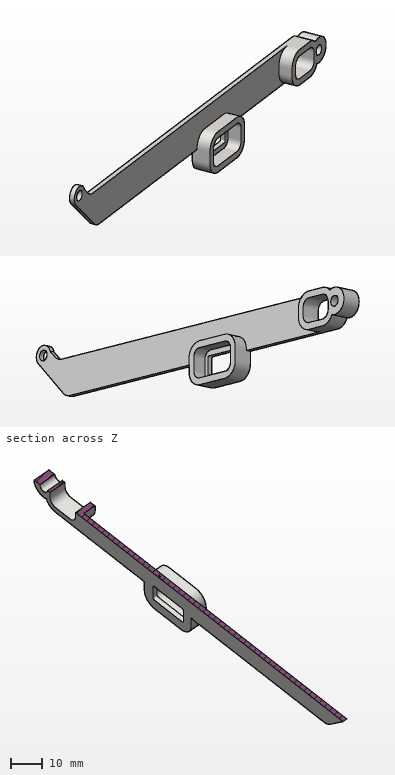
import cadquery as cq
import math

LENGTH = 152.0
HEIGHT = 28.0
PLATE_THICKNESS = 1.8
FULL_THICKNESS = 6.7
OVERSHOOT = 1.5

STRAP_BOTTOM = 9.1
STRAP_TOP = 21.9
BEND_RADIUS = 4.0

HOLE_DIAMETER = 3.5
END_EYE_RADIUS = 4.5
END_EYE_Y = LENGTH - END_EYE_RADIUS
END_EYE_Z = 16.4
ARM_EYE_RADIUS = 3.3
ARM_EYE_Y = ARM_EYE_RADIUS
ARM_EYE_Z = HEIGHT - ARM_EYE_RADIUS

ARM_TOP_BEND_Y = 10.2
ARM_TANGENT_OFFSET = ARM_EYE_RADIUS * math.sqrt(0.5)
ARM_TANGENT_Y = ARM_EYE_Y - ARM_TANGENT_OFFSET
ARM_TANGENT_Z = ARM_EYE_Z - ARM_TANGENT_OFFSET
ARM_BOTTOM_BEND_Y = ARM_TANGENT_Y + ARM_TANGENT_Z - STRAP_BOTTOM

END_BOSS_MIN_Y = 130.3
END_BOSS_MAX_Y = 146.7
END_BOSS_RADIUS = 5.0
END_WALL = 2.3

HOOK_MIN_Y = 78.1
HOOK_MAX_Y = 100.2
HOOK_TOP = 14.6
HOOK_RADIUS = 5.0
HOOK_WALL = 2.3
WINDOW_MIN_Y = 81.8
WINDOW_MAX_Y = 96.0
WINDOW_BOTTOM = 4.1
WINDOW_TOP = 10.5
WINDOW_RADIUS = 0.6


def rounded_block(y_range, z_range, radius, x_range):
    """Box between the given limits with its edges along X rounded."""
    (y0, y1), (z0, z1), (x0, x1) = y_range, z_range, x_range
    block = cq.Workplane("XY").box(x1 - x0, y1 - y0, z1 - z0, centered=False)
    return block.edges("|X").fillet(radius).translate((x0, y0, z0))


def inset(limits, wall):
    """Limits moved inwards by the wall thickness on both sides."""
    return limits[0] + wall, limits[1] - wall


def disc(y, z, radius, thickness):
    """Cylinder along X, standing on the plate's outer face."""
    return cq.Workplane("YZ").center(y, z).circle(radius).extrude(thickness)


def make_strap():
    """Flat strap with its bent arm, ending inside the end boss."""
    upper_offset = (ARM_TOP_BEND_Y + STRAP_TOP - ARM_EYE_Y - ARM_EYE_Z) / 2
    end_y = END_BOSS_MAX_Y - END_BOSS_RADIUS
    strap = (
        cq.Workplane("YZ")
        .moveTo(end_y, STRAP_BOTTOM)
        .lineTo(ARM_BOTTOM_BEND_Y, STRAP_BOTTOM)
        .lineTo(ARM_TANGENT_Y, ARM_TANGENT_Z)
        .lineTo(ARM_EYE_Y, ARM_EYE_Z)
        .lineTo(ARM_EYE_Y + upper_offset, ARM_EYE_Z + upper_offset)
        .lineTo(ARM_TOP_BEND_Y, STRAP_TOP)
        .lineTo(end_y, STRAP_TOP)
        .close()
        .extrude(PLATE_THICKNESS)
    )
    middle = PLATE_THICKNESS / 2
    bends = [(ARM_BOTTOM_BEND_Y, STRAP_BOTTOM), (ARM_TOP_BEND_Y, STRAP_TOP)]
    for y, z in bends:
        bend_edge = cq.selectors.NearestToPointSelector((middle, y, z))
        strap = strap.edges("|X").edges(bend_edge).fillet(BEND_RADIUS)
    return strap


full_depth = (0, FULL_THICKNESS)
through = (-OVERSHOOT, FULL_THICKNESS + OVERSHOOT)
behind_plate = (PLATE_THICKNESS, FULL_THICKNESS + OVERSHOOT)

end_y_range = (END_BOSS_MIN_Y, END_BOSS_MAX_Y)
end_z_range = (STRAP_BOTTOM, STRAP_TOP)
hook_y_range = (HOOK_MIN_Y, HOOK_MAX_Y)
hook_z_range = (0, HOOK_TOP)

body = make_strap()
body = body.union(disc(ARM_EYE_Y, ARM_EYE_Z, ARM_EYE_RADIUS, PLATE_THICKNESS))
body = body.union(disc(END_EYE_Y, END_EYE_Z, END_EYE_RADIUS, FULL_THICKNESS))
body = body.union(rounded_block(end_y_range, end_z_range, END_BOSS_RADIUS, full_depth))
body = body.union(rounded_block(hook_y_range, hook_z_range, HOOK_RADIUS, full_depth))

end_window = rounded_block(
    inset(end_y_range, END_WALL), inset(end_z_range, END_WALL), END_BOSS_RADIUS - END_WALL, through
)
body = body.cut(end_window)

hook_cavity = rounded_block(
    inset(hook_y_range, HOOK_WALL), inset(hook_z_range, HOOK_WALL), HOOK_RADIUS - HOOK_WALL, behind_plate
)
body = body.cut(hook_cavity)
plate_window = rounded_block(
    (WINDOW_MIN_Y, WINDOW_MAX_Y), (WINDOW_BOTTOM, WINDOW_TOP), WINDOW_RADIUS, through
)
body = body.cut(plate_window)

for eye_y, eye_z in [(ARM_EYE_Y, ARM_EYE_Z), (END_EYE_Y, END_EYE_Z)]:
    body = body.cut(disc(eye_y, eye_z, HOLE_DIAMETER / 2, FULL_THICKNESS))

result = body